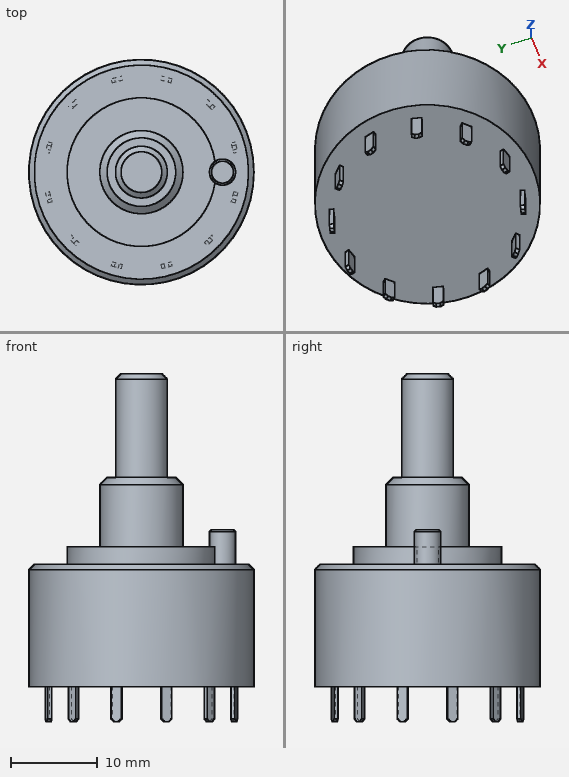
import cadquery as cq

total_height = 40.2
terminal_length = 4.0
body_diameter = 26.0
body_height = 14.2
body_chamfer = 0.65
collar_diameter = 17.15
collar_height = 2.0
bushing_diameter = 9.6
bushing_height = 8.0
bushing_chamfer = 0.85
shaft_diameter = 6.0
shaft_chamfer = 0.65

peg_diameter = 3.0
peg_height = 3.98
peg_chamfer = 0.25
peg_offset = 9.35

terminal_count = 12
terminal_circle_radius = 11.1
terminal_width = 1.2
terminal_thickness = 0.5
tip_chamfer = 0.35

body_top = terminal_length + body_height
collar_top = body_top + collar_height
bushing_top = collar_top + bushing_height
shaft_height = total_height - bushing_top


def cylinder(diameter, bottom, height):
    """Cylinder on the Z axis starting at the given level."""
    return cq.Workplane("XY").workplane(offset=bottom).circle(diameter / 2).extrude(height)


def make_peg():
    """Round peg with a chamfered top."""
    peg = cylinder(peg_diameter, body_top, peg_height).faces(">Z").chamfer(peg_chamfer)
    return peg.translate((peg_offset, 0, 0))


def make_terminal(angle):
    """Flat blade, wide side tangential, with a chamfered tip."""
    blade = cq.Workplane("XY").rect(terminal_thickness, terminal_width).extrude(terminal_length)
    blade = blade.faces("<Z").edges("|X").chamfer(tip_chamfer)
    return blade.translate((terminal_circle_radius, 0, 0)).rotate((0, 0, 0), (0, 0, 1), angle)


body = cylinder(body_diameter, terminal_length, body_height).faces(">Z").chamfer(body_chamfer)
collar = cylinder(collar_diameter, body_top, collar_height)
bushing = cylinder(bushing_diameter, collar_top, bushing_height).faces(">Z").chamfer(bushing_chamfer)
shaft = cylinder(shaft_diameter, bushing_top, shaft_height).faces(">Z").chamfer(shaft_chamfer)

result = body.union(collar).union(bushing).union(shaft).union(make_peg())

terminal_step = 360 / terminal_count
for index in range(terminal_count):
    result = result.union(make_terminal((index + 0.5) * terminal_step))